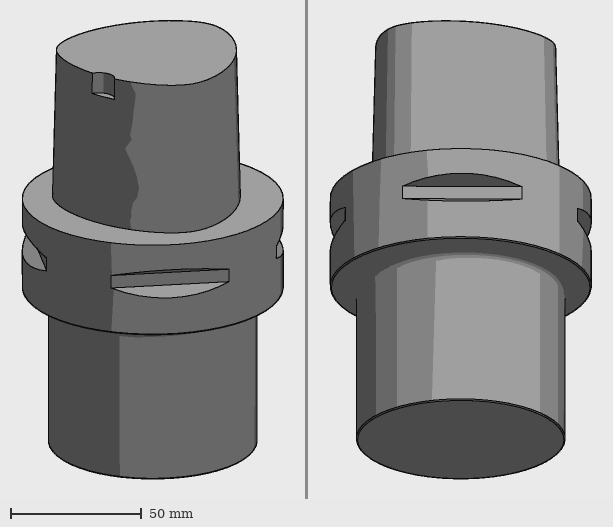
import cadquery as cq
import math

total_height = 160.0
flange_top = 100.0

flange_diameter = 100.0
flange_lower_edge = 63.5
body_diameter = 80.0
edge_break = 0.5
undercut_angle = math.radians(15)
neck_fillet = 3.2

base_radius = 36.0
lobe_height = 2.5
taper = 1 / 20
corner_half_angle = 25
lobe_spacing = 120

groove_mid_height = 84.0
groove_floor_distance = 44.5
groove_floor_width = 5.1
groove_mouth_width = 11.5
groove_angles = (45, 135, 225, 315)

notch_radius = 6.0
notch_center_y = -34.7
notch_depth = 8.3


def make_body():
    """Revolved flange and cylinder, joined by a sloped, filleted shoulder."""
    flange_radius = flange_diameter / 2
    body_radius = body_diameter / 2
    slope_top_x = flange_radius - edge_break
    slope_top_z = flange_lower_edge - edge_break
    corner_z = slope_top_z - (slope_top_x - body_radius) * math.tan(undercut_angle)

    turn = math.pi / 2 - undercut_angle
    tangent_length = neck_fillet * math.tan(turn / 2)
    fillet_start = (
        body_radius + tangent_length * math.cos(undercut_angle),
        corner_z + tangent_length * math.sin(undercut_angle),
    )
    fillet_end = (body_radius, corner_z - tangent_length)
    fillet_mid = (
        body_radius + neck_fillet * (1 - math.cos(turn / 2)),
        fillet_end[1] + neck_fillet * math.sin(turn / 2),
    )
    return (
        cq.Workplane("XZ")
        .moveTo(0, 0)
        .lineTo(body_radius - edge_break, 0)
        .lineTo(body_radius, edge_break)
        .lineTo(*fillet_end)
        .threePointArc(fillet_mid, fillet_start)
        .lineTo(slope_top_x, slope_top_z)
        .lineTo(flange_radius, flange_lower_edge)
        .lineTo(flange_radius, flange_top)
        .lineTo(0, flange_top)
        .close()
        .revolve(360, (0, 0, 0), (0, 1, 0))
    )


def lobed_point(mean_radius, normal_angle, z):
    """Point of a constant-width three-lobed curve, with one lobe toward +Y."""
    angle = math.radians(normal_angle)
    phase = 3 * (angle - math.pi / 2)
    support = mean_radius + lobe_height * math.cos(phase)
    slope = -3 * lobe_height * math.sin(phase)
    return cq.Vector(
        support * math.cos(angle) - slope * math.sin(angle),
        support * math.sin(angle) + slope * math.cos(angle),
        z,
    )


def lobed_wire(mean_radius, z):
    """Closed lobed outline made of three corner curves and three side curves."""
    intervals = 10
    side_range = lobe_spacing - 2 * corner_half_angle
    edges = []
    for lobe_angle in (90, 210, 330):
        corner_start = lobe_angle - corner_half_angle
        side_start = lobe_angle + corner_half_angle
        for start, span in ((corner_start, 2 * corner_half_angle), (side_start, side_range)):
            points = [
                lobed_point(mean_radius, start + span * i / intervals, z)
                for i in range(intervals + 1)
            ]
            edges.append(cq.Edge.makeSpline(points))
    return cq.Wire.assembleEdges(edges)


def make_shank():
    """Shank tapering from the flange face to the top."""
    top_radius = base_radius - taper * (total_height - flange_top) / 2
    base = lobed_wire(base_radius, flange_top)
    top = lobed_wire(top_radius, total_height)
    return cq.Workplane(cq.Solid.makeLoft([base, top], True))


def make_groove(angle):
    """Straight groove cutter with a flat floor and flared walls."""
    mouth_distance = flange_diameter / 2
    half_floor = groove_floor_width / 2
    half_mouth = groove_mouth_width / 2
    return (
        cq.Workplane("XZ")
        .polyline([
            (groove_floor_distance, groove_mid_height - half_floor),
            (mouth_distance, groove_mid_height - half_mouth),
            (mouth_distance, groove_mid_height + half_mouth),
            (groove_floor_distance, groove_mid_height + half_floor),
        ])
        .close()
        .extrude(flange_diameter / 2, both=True)
        .rotate((0, 0, 0), (0, 0, 1), angle)
    )


def make_notch():
    """Round-backed notch cutter."""
    return (
        cq.Workplane("XY")
        .workplane(offset=total_height - notch_depth)
        .center(0, notch_center_y)
        .circle(notch_radius)
        .extrude(notch_depth)
    )


result = make_body().union(make_shank())
for groove_angle in groove_angles:
    result = result.cut(make_groove(groove_angle))
result = result.cut(make_notch())